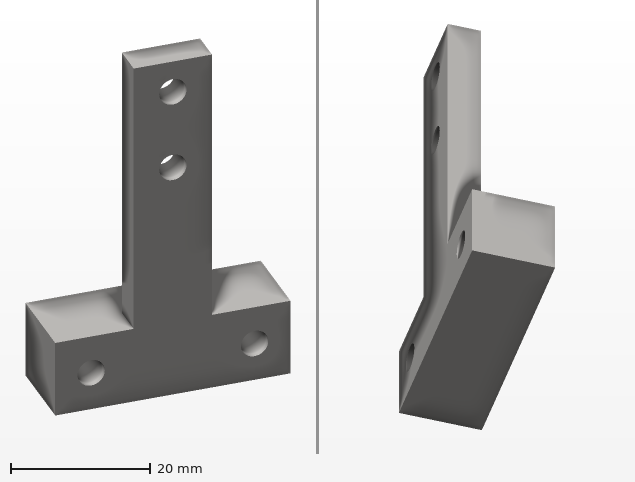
import cadquery as cq

total_height = 55.0
base_depth = 12.5
base_length = 36.0
base_height = 12.0

post_thickness = 5.0
post_width = 12.0

hole_diameter = 4.2
base_hole_spacing = 25.0
top_hole_inset = 5.0
post_hole_spacing = 12.5

base = cq.Workplane("XY").box(base_depth, base_length, base_height, centered=(True, True, False))

post = (
    cq.Workplane("XY")
    .box(post_thickness, post_width, total_height, centered=(True, True, False))
    .translate(((base_depth - post_thickness) / 2, 0, 0))
)

upper_hole_z = total_height - top_hole_inset
hole_centres = [
    (-base_hole_spacing / 2, base_height / 2),
    (base_hole_spacing / 2, base_height / 2),
    (0, upper_hole_z),
    (0, upper_hole_z - post_hole_spacing),
]
holes = (
    cq.Workplane("YZ")
    .pushPoints(hole_centres)
    .circle(hole_diameter / 2)
    .extrude(base_depth, both=True)
)

result = base.union(post).cut(holes)